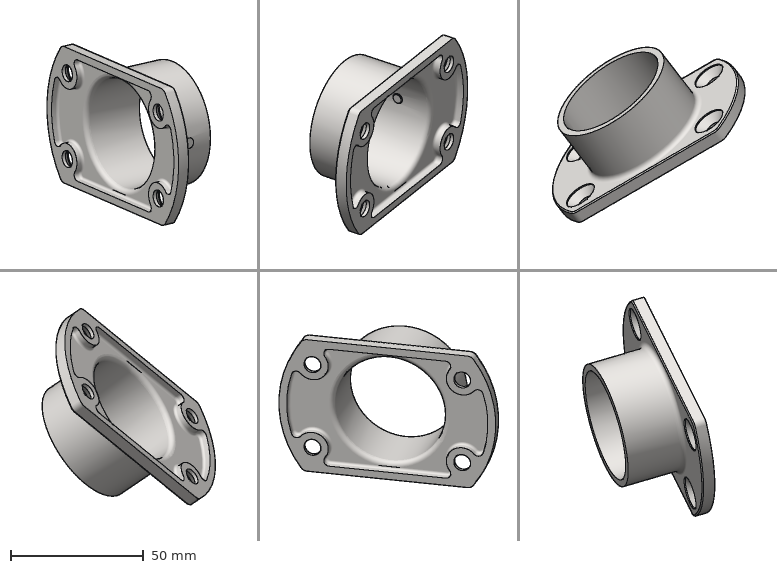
import cadquery as cq
import math

FLANGE_LENGTH = 84.0
FLANGE_HEIGHT = 54.0
FLANGE_THICKNESS = 5.0
FLANGE_END_RADIUS = 43.0
CORNER_RADIUS = 3.0
BACK_EDGE_CHAMFER = 0.5

TUBE_DIAMETER = 48.0
BORE_DIAMETER = 42.6
TOTAL_DEPTH = 28.0
TUBE_ROOT_FILLET = 2.0
BORE_MOUTH_RADIUS = 2.0

HOLE_DIAMETER = 6.5
COUNTERSINK_DIAMETER = 12.5
HOLE_X = 29.0
HOLE_Z = 17.0
HOLE_STRAIGHT_DEPTH = 1.5

RIM_WIDTH = 3.0
BOSS_DIAMETER = 12.3
POCKET_DEPTH = 3.0
POCKET_LOBE_RADIUS = 2.0
POCKET_FLOOR_FILLET = 1.0

PIN_DIAMETER = 4.2
PIN_Y = 18.0
PIN_INNER_PROTRUSION = 0.3
PIN_TIP_CHAMFER = 0.3

END_CENTER_X = FLANGE_LENGTH / 2 - FLANGE_END_RADIUS
TUBE_RADIUS = TUBE_DIAMETER / 2
BORE_RADIUS = BORE_DIAMETER / 2
HOLE_RADIUS = HOLE_DIAMETER / 2
COUNTERSINK_RADIUS = COUNTERSINK_DIAMETER / 2
BOSS_RADIUS = BOSS_DIAMETER / 2
POCKET_HALF_HEIGHT = FLANGE_HEIGHT / 2 - RIM_WIDTH
POCKET_HALF_LENGTH = FLANGE_LENGTH / 2 - RIM_WIDTH
POCKET_END_RADIUS = FLANGE_END_RADIUS - RIM_WIDTH


def front_plane(y):
    """Workplane at depth y whose local axes are X and Z; its normal points toward -Y."""
    return cq.Workplane("XZ", origin=(0, y, 0))


def polar(center, radius, angle):
    """Point at a distance and an angle from a center."""
    return (center[0] + radius * math.cos(angle), center[1] + radius * math.sin(angle))


def direction(start, end):
    """Angle of the line from start to end."""
    return math.atan2(end[1] - start[1], end[0] - start[0])


def make_flange():
    """Plate with straight top and bottom, arched ends, rounded corners and a chamfered back edge."""
    plate = front_plane(0).rect(FLANGE_LENGTH, FLANGE_HEIGHT).extrude(-FLANGE_THICKNESS)
    for center_x in (-END_CENTER_X, END_CENTER_X):
        disc = front_plane(0).center(center_x, 0).circle(FLANGE_END_RADIUS).extrude(-FLANGE_THICKNESS)
        plate = plate.intersect(disc)
    plate = plate.edges("|Y").edges(">Z or <Z").fillet(CORNER_RADIUS)
    return plate.faces(">Y").edges().chamfer(BACK_EDGE_CHAMFER)


def revolve_around_y(profile):
    """Full turn of a closed profile in the XY plane around the Y axis."""
    return profile.close().revolve(360, (0, 0, 0), (0, 1, 0))


def flared_cylinder(radius, flare_radius, base_y):
    """Cylinder from base_y to the tube end that flares out in a concave quarter arc at its base."""
    base_radius = radius + flare_radius
    flare_end_y = base_y + flare_radius
    flare_middle = polar((base_radius, flare_end_y), flare_radius, math.radians(225))
    return revolve_around_y(
        cq.Workplane("XY")
        .moveTo(0, base_y)
        .lineTo(base_radius, base_y)
        .threePointArc(flare_middle, (radius, flare_end_y))
        .lineTo(radius, TOTAL_DEPTH)
        .lineTo(0, TOTAL_DEPTH)
    )


def make_tube():
    """Outer shape of the tube, with the fillet at its root."""
    return flared_cylinder(TUBE_RADIUS, TUBE_ROOT_FILLET, FLANGE_THICKNESS)


def pocket_corner():
    """Points of the pocket outline around the +X +Z boss, from the end arc to the top edge.

    Three arcs follow each other: end lobe, boss arc, top lobe. Every second point is an arc's middle.
    """
    boss = (HOLE_X, HOLE_Z)
    end_center = (END_CENTER_X, 0)
    lobe_to_boss = BOSS_RADIUS + POCKET_LOBE_RADIUS

    lobe_reach = POCKET_END_RADIUS - POCKET_LOBE_RADIUS
    boss_reach = math.dist(end_center, boss)
    turn = math.acos(
        (lobe_reach**2 + boss_reach**2 - lobe_to_boss**2) / (2 * lobe_reach * boss_reach)
    )
    end_angle = direction(end_center, boss) - turn
    end_lobe = polar(end_center, lobe_reach, end_angle)
    end_to_boss = direction(end_lobe, boss)

    top_lobe_z = POCKET_HALF_HEIGHT - POCKET_LOBE_RADIUS
    top_lobe = (HOLE_X - math.sqrt(lobe_to_boss**2 - (top_lobe_z - HOLE_Z) ** 2), top_lobe_z)
    top_to_boss = direction(top_lobe, boss)
    top_angle = math.pi / 2

    boss_start = direction(boss, end_lobe)
    boss_end = direction(boss, top_lobe) - 2 * math.pi
    return [
        polar(end_center, POCKET_END_RADIUS, end_angle),
        polar(end_lobe, POCKET_LOBE_RADIUS, (end_angle + end_to_boss) / 2),
        polar(end_lobe, POCKET_LOBE_RADIUS, end_to_boss),
        polar(boss, BOSS_RADIUS, (boss_start + boss_end) / 2),
        polar(top_lobe, POCKET_LOBE_RADIUS, top_to_boss),
        polar(top_lobe, POCKET_LOBE_RADIUS, (top_to_boss + top_angle) / 2),
        (top_lobe[0], POCKET_HALF_HEIGHT),
    ]


def trace_corner(path, points):
    """Extend the path by the three arcs of a pocket corner."""
    for middle, end in zip(points[1::2], points[2::2]):
        path = path.threePointArc(middle, end)
    return path


def make_pocket():
    """Pocket with a rounded floor edge, symmetric about X and Z."""
    top_right = pocket_corner()
    top_left = [(-x, z) for x, z in reversed(top_right)]
    bottom_left = [(-x, -z) for x, z in top_right]
    bottom_right = [(x, -z) for x, z in reversed(top_right)]

    path = trace_corner(front_plane(0).moveTo(*top_right[0]), top_right)
    path = trace_corner(path.lineTo(*top_left[0]), top_left)
    path = trace_corner(path.threePointArc((-POCKET_HALF_LENGTH, 0), bottom_left[0]), bottom_left)
    path = trace_corner(path.lineTo(*bottom_right[0]), bottom_right)
    path = path.threePointArc((POCKET_HALF_LENGTH, 0), top_right[0]).close()
    pocket = path.extrude(-POCKET_DEPTH)
    return pocket.faces(">Y").edges().fillet(POCKET_FLOOR_FILLET)


def make_bore():
    """Bore with a rounded mouth at the pocket floor, kept inside the flat part of the floor."""
    bore = flared_cylinder(BORE_RADIUS, BORE_MOUTH_RADIUS, POCKET_DEPTH)
    floor_height = 2 * (POCKET_HALF_HEIGHT - POCKET_FLOOR_FILLET)
    return bore.intersect(front_plane(0).rect(FLANGE_LENGTH, floor_height).extrude(-TOTAL_DEPTH))


def make_screw_holes():
    """Straight holes at the front that widen at 45 degrees to the countersink diameter."""
    cone_end_y = HOLE_STRAIGHT_DEPTH + COUNTERSINK_RADIUS - HOLE_RADIUS
    hole = revolve_around_y(
        cq.Workplane("XY")
        .moveTo(0, 0)
        .lineTo(HOLE_RADIUS, 0)
        .lineTo(HOLE_RADIUS, HOLE_STRAIGHT_DEPTH)
        .lineTo(COUNTERSINK_RADIUS, cone_end_y)
        .lineTo(COUNTERSINK_RADIUS, FLANGE_THICKNESS)
        .lineTo(0, FLANGE_THICKNESS)
    )
    return [hole.translate((x, 0, z)) for x in (-HOLE_X, HOLE_X) for z in (-HOLE_Z, HOLE_Z)]


def make_pin():
    """Pin along X, flush with the outside of the tube and with a chamfered tip standing into the bore."""
    inner_end_x = BORE_RADIUS - PIN_INNER_PROTRUSION
    return (
        cq.Workplane("YZ", origin=(inner_end_x, PIN_Y, 0))
        .circle(PIN_DIAMETER / 2)
        .extrude(TUBE_RADIUS - inner_end_x)
        .faces("<X")
        .chamfer(PIN_TIP_CHAMFER)
    )


def make_housing(pin):
    """Flange and tube in one piece, with a hole that matches the pin."""
    housing = make_flange().union(make_tube()).cut(make_pocket()).cut(make_bore())
    for hole in make_screw_holes():
        housing = housing.cut(hole)
    return housing.cut(pin)


pin = make_pin()
housing = make_housing(pin)

result = cq.Compound.makeCompound([housing.val(), pin.val()])